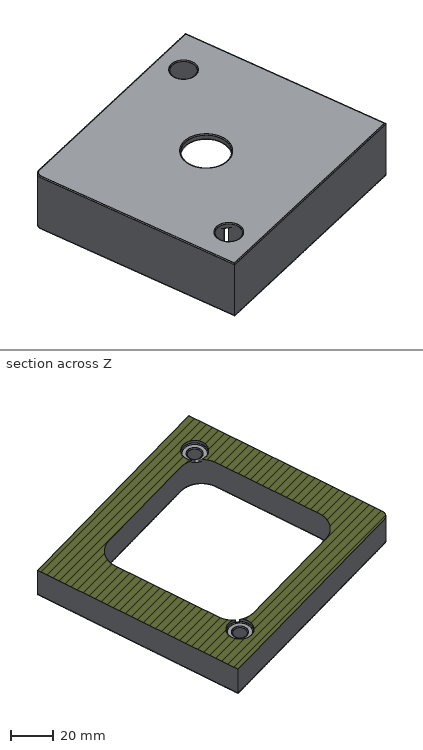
import cadquery as cq

length_x = 115
width_y = 125
height = 32.0
corner_radius = 4.0
edge_chamfer = 0.5

opening_diameter = 24.0
opening_x = -0.5
opening_y = -2.5
top_wall = 3.0
pocket_side = 83.0
pocket_corner_radius = opening_diameter / 2

screw_offset = 42.5
screw_diameter = 7.0
head_diameter = 13.0
head_depth = 18.0
screw_points = [
    (opening_x - screw_offset, opening_y + screw_offset),
    (opening_x + screw_offset, opening_y - screw_offset),
]


def make_block():
    """Block with one rounded corner and a chamfered top rim."""
    block = cq.Workplane("XY").box(length_x, width_y, height, centered=(True, True, False))
    block = block.edges("|Z and <X and <Y").fillet(corner_radius)
    return block.faces(">Z").chamfer(edge_chamfer)


def make_cylinder(point, diameter, bottom, top):
    """Vertical cylinder between two heights."""
    return cq.Workplane("XY", origin=(*point, bottom)).circle(diameter / 2).extrude(top - bottom)


def make_flare(point, diameter, top):
    """Cone that chamfers the mouth of a hole whose rim lies at the given height."""
    return (
        cq.Workplane("XY", origin=(*point, top - edge_chamfer))
        .circle(diameter / 2)
        .workplane(offset=edge_chamfer)
        .circle(diameter / 2 + edge_chamfer)
        .loft(ruled=True)
    )


def make_chamfered_hole(point, diameter, bottom, top):
    """Cylinder between two heights with a flared mouth at its top."""
    return make_cylinder(point, diameter, bottom, top).union(make_flare(point, diameter, top))


def make_screw_hole(point):
    """Through hole and counterbore, with bevels at both mouths and around the counterbore floor."""
    floor = height - head_depth
    through_hole = make_chamfered_hole(point, screw_diameter, 0, floor)
    floor_bevel = make_flare(point, head_diameter - 2 * edge_chamfer, floor + edge_chamfer)
    counterbore = make_chamfered_hole(point, head_diameter, floor + edge_chamfer, height)
    return through_hole.union(floor_bevel).union(counterbore)


def make_pocket(point):
    """Rounded square cutter that leaves the top wall standing."""
    pocket = cq.Workplane("XY", origin=(*point, 0)).rect(pocket_side, pocket_side)
    return pocket.extrude(height - top_wall).edges("|Z").fillet(pocket_corner_radius)


result = make_block()

opening_point = (opening_x, opening_y)
result = result.cut(make_chamfered_hole(opening_point, opening_diameter, 0, height))
result = result.cut(make_pocket(opening_point))

for screw_point in screw_points:
    result = result.cut(make_screw_hole(screw_point))